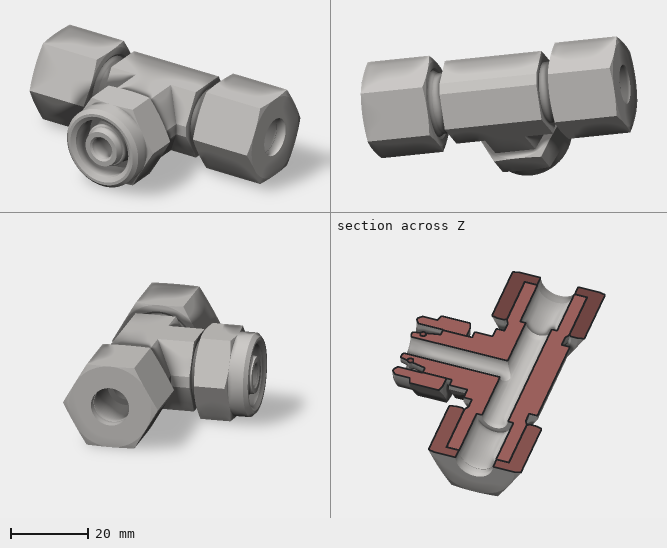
import cadquery as cq
import math

RUN_ANGLES = (0, 180)
BRANCH_ANGLE = -90

run_half_length = 34.0
nut_half_flats = 11.0
nut_corner_radius = nut_half_flats / math.cos(math.radians(30))
nut_mouth_radius = 9.25

block_half_height = 9.5
block_half_width = 10.1
block_top_half_width = 5.4
block_side_half_height = 1.5
block_run_end = 13.05
block_branch_end = 15.0

run_neck_radius = 7.9
flare_start = 15.7
flare_end = 16.9
spigot_radius = 8.65
spigot_end = run_half_length - 2.7
socket_radius = 5.0
socket_bottom = 17.5
run_bore_radius = 3.5

end_nut_inner_face = 16.5
end_nut_hole_radius = 5.1
end_nut_chamfer = 0.4

swivel_nut_inner_face = 16.45
swivel_nut_end = 30.6
swivel_hex_end = 25.6
swivel_hex_chamfer = 0.55
swivel_rim_chamfer = 1.0
swivel_mouth_depth = 0.8

tail_radius = 8.1
cone_tip = swivel_nut_end - 0.35
cone_tip_radius = 4.8
cone_base_radius = 6.36
cone_half_angle = math.radians(12)
cone_base = cone_tip - (cone_base_radius - cone_tip_radius) / math.tan(cone_half_angle)
branch_bore_radius = 3.0
branch_bore_chamfer = 0.5

oring_ring_radius = 5.1
oring_section_radius = 0.75
oring_position = cone_tip - 2.85


def turned(profile):
    """Solid of revolution about X from (distance along X, radius) points."""
    return cq.Workplane("XY").polyline(profile).close().revolve(360, (0, 0, 0), (1, 0, 0))


def rod(start, end, radius):
    """Plain cylinder along X."""
    return turned([(start, 0), (start, radius), (end, radius), (end, 0)])


def at_port(shape, angle):
    """Turn a shape made along +X to the port at the given angle about Z."""
    return shape.rotate((0, 0, 0), (0, 0, 1), angle)


def block_bar(length):
    """Bar of the tee block, from the centre outward along +X."""
    outline = [
        (block_top_half_width, block_half_height),
        (block_half_width, block_side_half_height),
        (block_half_width, -block_side_half_height),
        (block_top_half_width, -block_half_height),
        (-block_top_half_width, -block_half_height),
        (-block_half_width, -block_side_half_height),
        (-block_half_width, block_side_half_height),
        (-block_top_half_width, block_half_height),
    ]
    return cq.Workplane("YZ").polyline(outline).close().extrude(length)


def chamfered_hexagon(start, end, chamfer):
    """Hexagonal prism along X, flats at +Z and -Z, with turned corners at both ends."""
    prism = (
        cq.Workplane("YZ", origin=(start, 0, 0))
        .polygon(6, 2 * nut_corner_radius)
        .extrude(end - start)
    )
    envelope = turned([
        (start, 0),
        (start, nut_half_flats),
        (start + chamfer, nut_corner_radius),
        (end - chamfer, nut_corner_radius),
        (end, nut_half_flats),
        (end, 0),
    ])
    return prism.intersect(envelope)


def run_spigot():
    """Neck that flares out into the nut mouth and continues inside the nut."""
    return turned([
        (0, 0),
        (0, run_neck_radius),
        (flare_start, run_neck_radius),
        (flare_end, spigot_radius),
        (spigot_end, spigot_radius),
        (spigot_end, 0),
    ])


def branch_tail():
    """Round tail through the swivel nut, ending in the sealing cone."""
    return turned([
        (0, 0),
        (0, tail_radius),
        (cone_base, tail_radius),
        (cone_base, cone_base_radius),
        (cone_tip, cone_tip_radius),
        (cone_tip, 0),
    ])


def branch_bore():
    """Branch bore from the centre to the cone tip, with a chamfered mouth."""
    return turned([
        (0, 0),
        (0, branch_bore_radius),
        (cone_tip - branch_bore_chamfer, branch_bore_radius),
        (cone_tip, branch_bore_radius + branch_bore_chamfer),
        (cone_tip, 0),
    ])


def oring_torus():
    """Round-section ring about X; it also shapes the groove in the cone."""
    return (
        cq.Workplane("XY")
        .center(oring_position, oring_ring_radius)
        .circle(oring_section_radius)
        .revolve(360, (0, -oring_ring_radius, 0), (1, -oring_ring_radius, 0))
    )


def make_oring():
    return at_port(oring_torus(), BRANCH_ANGLE)


def make_tee():
    tee = at_port(block_bar(block_branch_end).union(branch_tail()), BRANCH_ANGLE)
    for angle in RUN_ANGLES:
        tee = tee.union(at_port(block_bar(block_run_end).union(run_spigot()), angle))

    tee = tee.cut(rod(-spigot_end, spigot_end, run_bore_radius))
    for angle in RUN_ANGLES:
        tee = tee.cut(at_port(rod(socket_bottom, spigot_end, socket_radius), angle))
    tee = tee.cut(at_port(branch_bore(), BRANCH_ANGLE))
    return tee.cut(make_oring())


def make_end_nut(angle):
    """Nut with a flared mouth seated on a run spigot, and a tube hole in its outer face."""
    nut = chamfered_hexagon(end_nut_inner_face, run_half_length, end_nut_chamfer)
    bore = turned([
        (end_nut_inner_face, 0),
        (end_nut_inner_face, nut_mouth_radius),
        (flare_end, spigot_radius),
        (spigot_end, spigot_radius),
        (spigot_end, end_nut_hole_radius),
        (run_half_length, end_nut_hole_radius),
        (run_half_length, 0),
    ])
    return at_port(nut.cut(bore), angle)


def make_swivel_nut():
    """Nut with a hexagon at the tee side and a round, chamfered collar at the open side."""
    nut = chamfered_hexagon(swivel_nut_inner_face, swivel_hex_end, swivel_hex_chamfer)
    collar = turned([
        (swivel_nut_inner_face, 0),
        (swivel_nut_inner_face, nut_half_flats),
        (swivel_nut_end - swivel_rim_chamfer, nut_half_flats),
        (swivel_nut_end, nut_half_flats - swivel_rim_chamfer),
        (swivel_nut_end, 0),
    ])
    bore = turned([
        (swivel_nut_inner_face, 0),
        (swivel_nut_inner_face, tail_radius),
        (swivel_nut_end - swivel_mouth_depth, tail_radius),
        (swivel_nut_end, nut_mouth_radius),
        (swivel_nut_end, 0),
    ])
    return at_port(nut.union(collar).cut(bore), BRANCH_ANGLE)


tee = make_tee()
end_nuts = [make_end_nut(angle) for angle in RUN_ANGLES]
swivel_nut = make_swivel_nut()
oring = make_oring()

result = cq.Compound.makeCompound([
    tee.solids().val(),
    *[nut.solids().val() for nut in end_nuts],
    swivel_nut.solids().val(),
    oring.solids().val(),
])